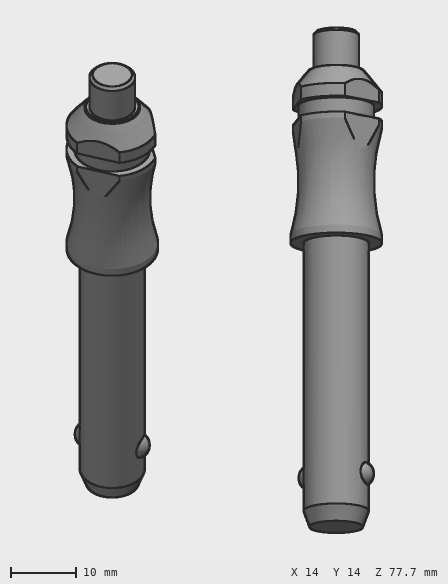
import cadquery as cq
import math

total_length = 77.7
handle_length = 33.15
shoulder_z = total_length - handle_length

shank_radius = 5.0
tip_length = 2.5
tip_angle = 20.0
ball_radius = 2.0
ball_offset = 4.0
ball_z = 8.0

handle_radius = 7.0
waist_radius = 5.8
foot_rim_height = 1.2
grip_arc_radius = 30.0
waist_drop = handle_radius - waist_radius
grip_arc_height = math.sqrt(2 * grip_arc_radius * waist_drop - waist_drop**2)
head_rim_height = 1.0
groove_width = 2.5
collar_rim_height = 2.0
collar_cone_height = 2.55
collar_cone_top_radius = 5.0

ring_height = 0.9
ring_top_radius = 4.25
ring_edge_height = 0.1
ring_land_radius = 4.02

button_radius = 3.5
button_chamfer = 0.5

flat_count = 3
flat_distance = 6.1
first_flat_angle = -90.0

foot_rim_top = shoulder_z + foot_rim_height
waist_z = foot_rim_top + grip_arc_height
grip_top = waist_z + grip_arc_height
groove_bottom = grip_top + head_rim_height
groove_top = groove_bottom + groove_width
collar_rim_top = groove_top + collar_rim_height
collar_cone_top = collar_rim_top + collar_cone_height
ring_top = collar_cone_top + ring_height
ring_land_z = ring_top + ring_edge_height


def grip_arc_radius_at(height):
    """Handle radius on the waist arc at a height above or below the waist."""
    return waist_radius + grip_arc_radius - math.sqrt(grip_arc_radius**2 - height**2)


def make_shank():
    """Straight shank with a tapered tip, reaching up to the handle."""
    tip_radius = shank_radius - tip_length * math.tan(math.radians(tip_angle))
    profile = (
        cq.Workplane("XZ")
        .lineTo(tip_radius, 0)
        .lineTo(shank_radius, tip_length)
        .lineTo(shank_radius, shoulder_z)
        .lineTo(0, shoulder_z)
        .close()
    )
    return profile.revolve(360, (0, 0, 0), (0, 1, 0))


def make_handle():
    """Turned handle: waisted grip, groove, collar and ring."""
    half_arc = grip_arc_height / 2
    middle_radius = grip_arc_radius_at(half_arc)
    profile = (
        cq.Workplane("XZ")
        .moveTo(0, shoulder_z)
        .lineTo(handle_radius, shoulder_z)
        .lineTo(handle_radius, foot_rim_top)
        .threePointArc((middle_radius, waist_z - half_arc), (waist_radius, waist_z))
        .threePointArc((middle_radius, waist_z + half_arc), (handle_radius, grip_top))
        .lineTo(handle_radius, groove_bottom)
        .lineTo(waist_radius, groove_bottom)
        .lineTo(waist_radius, groove_top)
        .lineTo(handle_radius, groove_top)
        .lineTo(handle_radius, collar_rim_top)
        .lineTo(collar_cone_top_radius, collar_cone_top)
        .lineTo(ring_top_radius, ring_top)
        .lineTo(ring_land_radius, ring_land_z)
        .lineTo(0, ring_land_z)
        .close()
    )
    return profile.revolve(360, (0, 0, 0), (0, 1, 0))


def cut_flats(handle):
    """Cut equally spaced flats on the handle, running out in the waist."""
    cutter_depth = handle_radius - flat_distance
    cutter_height = ring_land_z - waist_z
    for index in range(flat_count):
        angle = first_flat_angle + index * 360 / flat_count
        cutter = (
            cq.Workplane("XY")
            .box(cutter_depth, 2 * handle_radius, cutter_height, centered=(False, True, False))
            .translate((flat_distance, 0, waist_z))
            .rotate((0, 0, 0), (0, 0, 1), angle)
        )
        handle = handle.cut(cutter)
    return handle


def make_button():
    """Push button standing out of the collar, with a chamfered top."""
    return (
        cq.Workplane("XY")
        .workplane(offset=ring_land_z)
        .circle(button_radius)
        .extrude(total_length - ring_land_z)
        .faces(">Z")
        .chamfer(button_chamfer)
    )


def make_balls():
    """Locking balls on opposite sides of the shank."""
    ball_centers = [(-ball_offset, 0, ball_z), (ball_offset, 0, ball_z)]
    return cq.Workplane("XY").pushPoints(ball_centers).sphere(ball_radius)


handle = cut_flats(make_handle())
result = make_shank().union(handle).union(make_button()).union(make_balls())